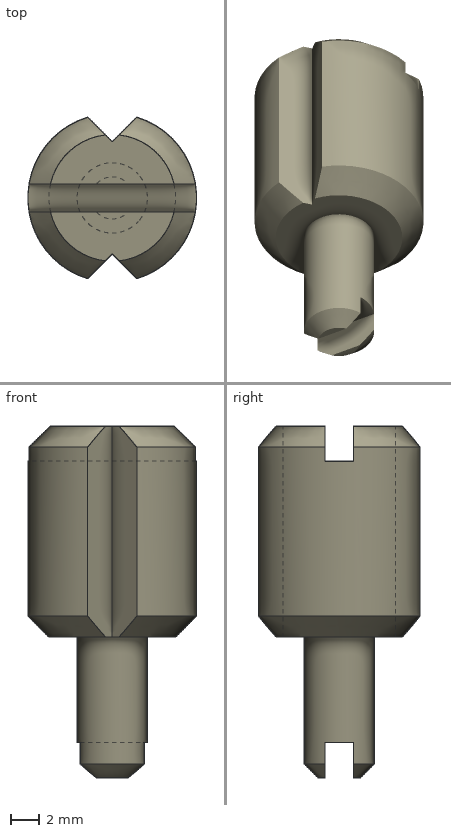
import cadquery as cq

total_height = 25.0
head_height = 15.0
head_diameter = 12.0
head_chamfer = 1.5
pin_diameter = 5.0
pin_chamfer = 1.0

slot_width = 2.0
slot_depth = 2.5

groove_root_distance = 4.0

pin_length = total_height - head_height
head_radius = head_diameter / 2


def make_head():
    head = cq.Workplane("XY").workplane(offset=pin_length).circle(head_radius).extrude(head_height)
    return head.faces("<Z or >Z").chamfer(head_chamfer)


def make_pin():
    pin = cq.Workplane("XY").circle(pin_diameter / 2).extrude(pin_length)
    return pin.faces("<Z").chamfer(pin_chamfer)


def make_slot(bottom):
    return (
        cq.Workplane("XY")
        .workplane(offset=bottom)
        .rect(head_diameter, slot_width)
        .extrude(slot_depth)
    )


def make_groove(side):
    """V groove opening toward +Y (side = 1) or -Y (side = -1)."""
    half_width = head_radius - groove_root_distance
    return (
        cq.Workplane("XY")
        .workplane(offset=pin_length)
        .moveTo(0, side * groove_root_distance)
        .lineTo(half_width, side * head_radius)
        .lineTo(-half_width, side * head_radius)
        .close()
        .extrude(head_height)
    )


result = make_head().union(make_pin())

for slot_bottom in (0, total_height - slot_depth):
    result = result.cut(make_slot(slot_bottom))

for groove_side in (-1, 1):
    result = result.cut(make_groove(groove_side))